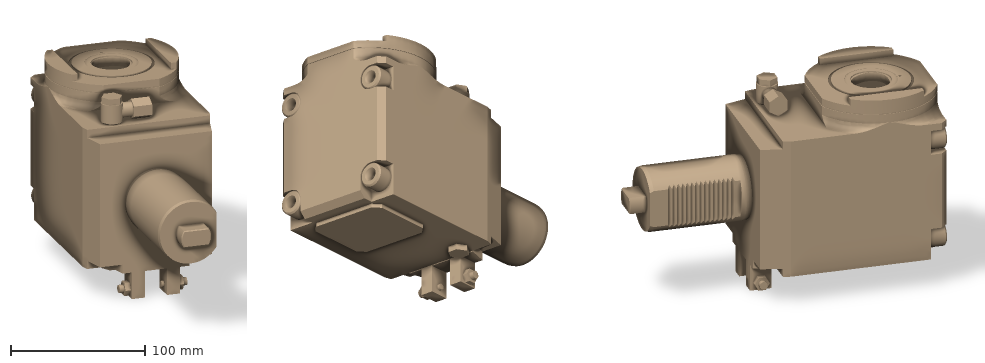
import cadquery as cq
import math


overlap = 2.4

half_width = 50.0
half_height = 55.0
edge_chamfer = 5.0
taper_start_x = 122.5
housing_end_x = 128.1
plate_end_x = 144.7
plate_half_height = 48.5
taper_angle = 15.0

spindle_x = 44.8
flange_radius = 50.0
flange_half_length = spindle_x
flare_radius = 56.6
flare_top_z = 60.7
flare_arc_radius = 6.8
flange_top_z = 74.0
tenon_top_z = 79.3
tenon_inner_y = 36.8
tenon_half_length = 28.5
seam_z = 68.0
seam_height = 0.7
seam_depth = 0.5

ring_outer_radius = 32.0
ring_inner_radius = 30.0
ring_depth = 1.0
nose_rise = 0.5
insert_radius = 20.0
insert_recess = 0.2
bore_radius = 14.5
bore_lobe = 0.83
bore_depth = 7.8
bore_mouth_radius = 15.5
bore_mouth_depth = 1.0
pin_hole_radius = 1.2
pin_hole_x = 22.5
pin_hole_depth = 1.2

screw_y = 38.7
screw_z = 40.0
screw_radius = 9.5
screw_chamfer = 1.2
socket_radius = 5.2
socket_depth = 7.0
pocket_radius = 9.7
pocket_depth = 13.2

cover_length = 58.5
cover_width = 64.7
cover_thickness = 3.0
cover_chamfer = 5.7

fitting_x = 118.0
fitting_y = -25.5
fitting_radius = 8.3
fitting_top_z = 70.5
fitting_chamfer = 1.2
hex_flats = 14.0
hex_top_z = 75.5
plug_bottom_z = -59.5
pipe_radius = 5.7
pipe_z = 63.7
pipe_nut_start_y = -10.5
pipe_nut_end_y = 4.0

shank_radius = 25.0
neck_radius = 24.5
neck_end_x = 146.5
shank_start_x = 149.0
shank_end_x = 223.0
shank_chamfer_length = 3.0
shank_chamfer_drop = 0.7
rack_y = 20.3
rack_start_x = 152.7
tooth_count = 15
first_tooth_x = 158.4
last_tooth_x = 207.5
tooth_pitch = (last_tooth_x - first_tooth_x) / (tooth_count - 1)
tooth_width = 3.0
tooth_depth = 2.1

tang_radius = 11.8
tang_half_thickness = 6.5
tang_end_x = 236.0
tang_chamfer = 0.7

bridge_half_width = 30.7
bridge_bottom_z = -55.7
lug_inner_y = 8.7
lug_outer_y = 18.9
lug_bottom_z = -76.7
stop_z = -70.5
nut_flats = 10.1
nut_end_y = 23.1
stud_end_y = 26.7
stud_radius = 3.0
tip_radius = 2.4
tip_y = 6.5

hex_diameter = hex_flats / math.cos(math.pi / 6)
nut_diameter = nut_flats / math.cos(math.pi / 6)


def box(x_range, y_range, z_range):
    sizes = [end - start for start, end in (x_range, y_range, z_range)]
    return cq.Workplane("XY").box(*sizes, centered=False).translate((x_range[0], y_range[0], z_range[0]))


def cylinder_x(radius, start, end, y=0, z=0):
    return cq.Workplane("YZ", origin=(start, y, z)).circle(radius).extrude(end - start)


def cylinder_y(radius, start, end, x, z):
    return cq.Workplane("XZ", origin=(x, start, z)).circle(radius).extrude(start - end)


def cylinder_z(radius, start, end, x, y=0):
    return cq.Workplane("XY", origin=(x, y, start)).circle(radius).extrude(end - start)


def tapered_block(start_x, end_x, start_half_width, z_range):
    end_half_width = start_half_width - (end_x - start_x) * math.tan(math.radians(taper_angle))
    outline = [
        (start_x, -start_half_width),
        (end_x, -end_half_width),
        (end_x, end_half_width),
        (start_x, start_half_width),
    ]
    bottom_z, top_z = z_range
    return cq.Workplane("XY", origin=(0, 0, bottom_z)).polyline(outline).close().extrude(top_z - bottom_z)


def make_housing():
    height_range = (-half_height, half_height)
    block = box((0, taper_start_x), (-half_width, half_width), height_range)
    block = block.edges("<X and |Z").chamfer(edge_chamfer)
    block = block.edges("<X and <Z").chamfer(edge_chamfer)
    plate = tapered_block(taper_start_x, plate_end_x, half_width, (-plate_half_height, plate_half_height))
    housing_tail = tapered_block(taper_start_x, housing_end_x, half_width, height_range)
    cover = (
        cq.Workplane("XY", origin=(spindle_x, 0, -half_height - cover_thickness))
        .rect(cover_length, cover_width)
        .extrude(cover_thickness)
        .edges("|Z")
        .chamfer(cover_chamfer)
    )
    return block.union(housing_tail).union(plate).union(cover)


def make_flange():
    turned = (
        cq.Workplane("XZ")
        .lineTo(flare_radius, 0)
        .lineTo(flare_radius, half_height)
        .radiusArc((flange_radius, flare_top_z), flare_arc_radius)
        .lineTo(flange_radius, tenon_top_z)
        .lineTo(0, tenon_top_z)
        .close()
        .revolve(360, (0, 0, 0), (0, 1, 0))
        .translate((spindle_x, 0, 0))
    )
    x_range = (spindle_x - flange_half_length, spindle_x + flange_half_length)
    y_range = (-half_width, half_width)
    body = turned.intersect(box(x_range, y_range, (half_height - overlap, flange_top_z)))

    seam_range = (seam_z - seam_height / 2, seam_z + seam_height / 2)
    seam_core = cylinder_z(flange_radius - seam_depth, *seam_range, spindle_x).intersect(
        box((x_range[0] + seam_depth, x_range[1] - seam_depth), y_range, seam_range)
    )
    body = body.cut(box(x_range, y_range, seam_range).cut(seam_core))

    tenon_x_range = (spindle_x - tenon_half_length, spindle_x + tenon_half_length)
    tenon_z_range = (flange_top_z, tenon_top_z)
    for tenon_y_range in ((-half_width, -tenon_inner_y), (tenon_inner_y, half_width)):
        body = body.union(turned.intersect(box(tenon_x_range, tenon_y_range, tenon_z_range)))
    return body


def bore_point(angle):
    radius = bore_radius + bore_lobe * math.cos(3 * angle)
    return (radius * math.cos(angle), radius * math.sin(angle))


def finish_nose(part):
    nose_top_z = flange_top_z + nose_rise
    insert_z = nose_top_z - insert_recess
    groove_z = flange_top_z - ring_depth
    part = part.cut(cylinder_z(ring_outer_radius, groove_z, flange_top_z, spindle_x))
    part = part.union(cylinder_z(ring_inner_radius, groove_z - overlap, nose_top_z, spindle_x))
    part = part.cut(cylinder_z(insert_radius, insert_z, nose_top_z, spindle_x))
    part = part.cut(cylinder_z(bore_mouth_radius, insert_z - bore_mouth_depth, insert_z, spindle_x))
    bore = (
        cq.Workplane("XY", origin=(spindle_x, 0, insert_z - bore_depth))
        .parametricCurve(lambda t: bore_point(2 * math.pi * t))
        .extrude(bore_depth)
    )
    part = part.cut(bore)
    return part.cut(cylinder_z(pin_hole_radius, nose_top_z - pin_hole_depth, nose_top_z, pin_hole_x))


def screw_pocket(side, level):
    outer_y = side * (half_width + overlap)
    y_range = sorted((side * screw_y, outer_y))
    z_center = level * screw_z
    pocket = cylinder_x(pocket_radius, 0, pocket_depth, side * screw_y, z_center)
    z_range = (z_center - pocket_radius, z_center + pocket_radius)
    pocket = pocket.union(box((0, pocket_depth), y_range, z_range))
    if level < 0:
        wide_y_range = sorted((side * (screw_y - pocket_radius), outer_y))
        pocket = pocket.union(box((0, pocket_depth), wide_y_range, (-half_height - overlap, z_center)))
    return pocket


def make_screw():
    head = cylinder_x(screw_radius, 0, pocket_depth).faces("<X").chamfer(screw_chamfer)
    socket = cq.Workplane(
        cq.Solid.makeCone(socket_radius, 0, socket_depth, cq.Vector(0, 0, 0), cq.Vector(1, 0, 0))
    )
    return head.cut(socket)


def make_fitting():
    body = cylinder_z(fitting_radius, half_height, fitting_top_z, fitting_x, fitting_y)
    body = body.faces("<Z").chamfer(fitting_chamfer)
    hex_bar = (
        cq.Workplane("XY", origin=(fitting_x, fitting_y, plug_bottom_z))
        .transformed(rotate=(0, 0, 90))
        .polygon(6, hex_diameter)
        .extrude(hex_top_z - plug_bottom_z)
    )
    pipe = cylinder_y(pipe_radius, fitting_y, pipe_nut_start_y, fitting_x, pipe_z)
    pipe_nut = (
        cq.Workplane("XZ", origin=(fitting_x, pipe_nut_start_y, pipe_z))
        .transformed(rotate=(0, 0, 90))
        .polygon(6, hex_diameter)
        .extrude(pipe_nut_start_y - pipe_nut_end_y)
    )
    return body.union(hex_bar).union(pipe).union(pipe_nut)


def make_shank():
    profile = [
        (plate_end_x, 0),
        (plate_end_x, neck_radius),
        (neck_end_x, neck_radius),
        (shank_start_x, shank_radius),
        (shank_end_x - shank_chamfer_length, shank_radius),
        (shank_end_x, shank_radius - shank_chamfer_drop),
        (shank_end_x, 0),
    ]
    shank = cq.Workplane("XY").polyline(profile).close().revolve(360, (0, 0, 0), (1, 0, 0))
    z_range = (-shank_radius, shank_radius)
    shank = shank.cut(box((rack_start_x, shank_end_x), (rack_y, shank_radius + overlap), z_range))
    for index in range(tooth_count):
        center_x = first_tooth_x + index * tooth_pitch
        groove_outline = [
            (center_x - tooth_width / 2, rack_y),
            (center_x, rack_y - tooth_depth),
            (center_x + tooth_width / 2, rack_y),
        ]
        groove = cq.Workplane("XY").polyline(groove_outline).close().extrude(shank_radius, both=True)
        shank = shank.cut(groove)
    tang = cylinder_x(tang_radius, shank_end_x, tang_end_x).intersect(
        box(
            (shank_end_x, tang_end_x),
            (-tang_radius, tang_radius),
            (-tang_half_thickness, tang_half_thickness),
        )
    )
    return shank.union(tang.faces(">X").chamfer(tang_chamfer))


def make_stop_lugs():
    bridge_range = (bridge_bottom_z, -plate_half_height)
    lugs = tapered_block(housing_end_x, plate_end_x, bridge_half_width, bridge_range)
    center_x = (housing_end_x + plate_end_x) / 2
    for side in (-1, 1):
        y_range = sorted((side * lug_inner_y, side * lug_outer_y))
        lug = box((housing_end_x, plate_end_x), y_range, (lug_bottom_z, bridge_bottom_z))
        nut = (
            cq.Workplane("XZ", origin=(center_x, side * lug_outer_y, stop_z))
            .polygon(6, nut_diameter)
            .extrude(-side * (nut_end_y - lug_outer_y))
        )
        stud = cylinder_y(stud_radius, side * lug_outer_y, side * stud_end_y, center_x, stop_z)
        tip = cylinder_y(tip_radius, side * lug_inner_y, side * tip_y, center_x, stop_z)
        lugs = lugs.union(lug).union(nut).union(stud).union(tip)
    return lugs


result = finish_nose(make_housing().union(make_flange()))
screw = make_screw()
for side in (-1, 1):
    for level in (-1, 1):
        result = result.cut(screw_pocket(side, level))
        result = result.union(screw.translate((0, side * screw_y, level * screw_z)))
result = result.union(make_fitting()).union(make_shank()).union(make_stop_lugs())